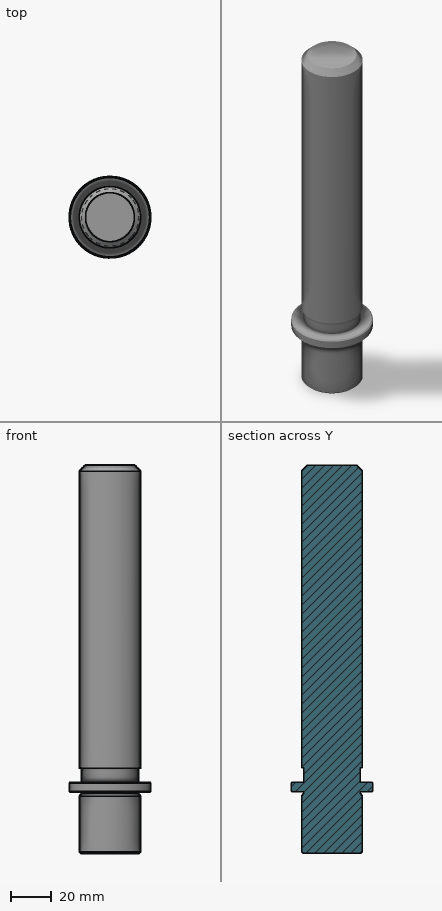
import cadquery as cq

total_length = 190.0
base_length = 28.1
shoulder_taper_height = 1.3
undercut_width = 0.5
collar_thickness = 5.0
neck_length = 6.8

shaft_diameter = 30.0
neck_diameter = 28.0
collar_diameter = 39.9

tip_chamfer = 3.0
base_chamfer = 1.0
collar_chamfer = 0.5

undercut_bottom = base_length + shoulder_taper_height
collar_bottom = undercut_bottom + undercut_width
neck_bottom = collar_bottom + collar_thickness
shaft_bottom = neck_bottom + neck_length


def cylinder(diameter, bottom, top):
    """Solid cylinder on the Z axis between two heights."""
    return cq.Workplane("XY").workplane(offset=bottom).circle(diameter / 2).extrude(top - bottom)


base = cylinder(shaft_diameter, 0, base_length)
base = base.faces("<Z").chamfer(base_chamfer)

shoulder = (
    cq.Workplane("XY")
    .workplane(offset=base_length)
    .circle(shaft_diameter / 2)
    .workplane(offset=shoulder_taper_height)
    .circle(neck_diameter / 2)
    .loft(ruled=True)
)

undercut = cylinder(neck_diameter, undercut_bottom, collar_bottom)

collar = cylinder(collar_diameter, collar_bottom, neck_bottom)
collar = collar.faces("<Z or >Z").chamfer(collar_chamfer)

neck = cylinder(neck_diameter, neck_bottom, shaft_bottom)

shaft = cylinder(shaft_diameter, shaft_bottom, total_length)
shaft = shaft.faces(">Z").chamfer(tip_chamfer)

result = base.union(shoulder).union(undercut).union(collar).union(neck).union(shaft)